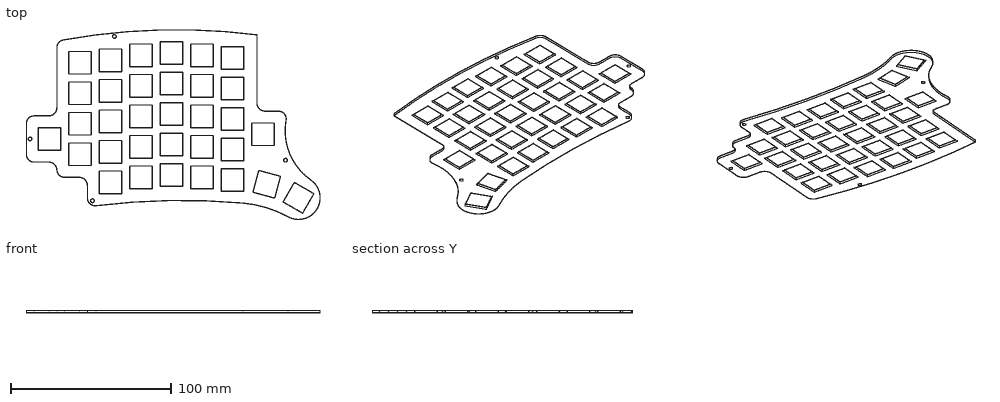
import cadquery as cq
import math


plate_thickness = 1.6
key_grid_span = 133.3
column_gaps = 7
key_pitch = key_grid_span / column_gaps
key_cutout = 14.0
edge_margin = 14.5
corner_radius = 5.0
screw_hole_diameter = 2.2

column_drops = {-3: 6.0, -2: 4.5, -1: 1.5, 0: 0.0, 1: 1.5, 2: 3.1}
full_rows = (-2, -1, 0, 1, 2)
short_rows = (-1, 0, 1, 2)
first_column = min(column_drops)
second_column = first_column + 1
last_column = max(column_drops)

left_key = ((first_column - 1) * key_pitch, -column_drops[first_column] - key_pitch / 2)
right_key = ((last_column + 1) * key_pitch, -column_drops[last_column] - key_pitch / 2)

inner_thumb_key = (59.5, -43.9)
inner_thumb_tilt = -15
outer_thumb_key = (79.3, -52.3)
outer_thumb_tilt = -30

tab_left = left_key[0] - edge_margin
tab_top = left_key[1] + edge_margin
tab_bottom = left_key[1] - edge_margin
body_left = first_column * key_pitch - edge_margin
step_bottom = short_rows[0] * key_pitch - column_drops[first_column] - edge_margin
foot_left = second_column * key_pitch - edge_margin
body_right = 53.5
shoulder_top = right_key[1] + edge_margin

back_radius = 398.3
back_center = (3.3, -345.6)
thumb_radius = 13.5
neck_radius = 37.5
neck_direction = 55.1
sweep_radius = 71.2
sweep_direction = -118.8
front_radius = 436.7
front_end_direction = 85

screw_holes = [
    (-35.6, 48.5),
    (-88.3, left_key[1]),
    (71.2, -28.8),
    (-49.4, -54.1),
]


def polar(center, radius, degrees):
    """Point at a distance and direction from a centre."""
    angle = math.radians(degrees)
    return (center[0] + radius * math.cos(angle), center[1] + radius * math.sin(angle))


def top_of_circle(center, radius, x):
    """Point on the upper half of a circle at a given x."""
    return (x, center[1] + math.sqrt(radius**2 - (x - center[0])**2))


neck_center = polar(outer_thumb_key, thumb_radius + neck_radius, neck_direction)
sweep_center = polar(outer_thumb_key, thumb_radius + sweep_radius, sweep_direction)
front_center = polar(sweep_center, front_radius - sweep_radius, front_end_direction + 180)

back_left = top_of_circle(back_center, back_radius, body_left)
back_right = top_of_circle(back_center, back_radius, body_right)
front_left = top_of_circle(front_center, front_radius, foot_left)
neck_rise = shoulder_top - neck_center[1]
shoulder_corner = (neck_center[0] - math.sqrt(neck_radius**2 - neck_rise**2), shoulder_top)

left_corners = [
    back_left,
    (body_left, tab_top),
    (tab_left, tab_top),
    (tab_left, tab_bottom),
    (body_left, tab_bottom),
    (body_left, step_bottom),
    (foot_left, step_bottom),
    front_left,
]
right_corners = [
    shoulder_corner,
    (body_right, shoulder_top),
]


def make_plate():
    """Plate blank with rounded corners."""
    front_end = polar(front_center, front_radius, front_end_direction)
    thumb_end = polar(outer_thumb_key, thumb_radius, neck_direction)
    thumb_middle = polar(outer_thumb_key, thumb_radius, (neck_direction + sweep_direction) / 2)
    sweep_end_direction = sweep_direction + 180
    sweep_end = polar(sweep_center, sweep_radius, sweep_end_direction)
    sweep_middle = polar(sweep_center, sweep_radius, (front_end_direction + sweep_end_direction) / 2)
    neck_middle = polar(neck_center, neck_radius, 180)
    blank = (
        cq.Workplane("XY")
        .polyline(left_corners)
        .threePointArc(top_of_circle(front_center, front_radius, 0), front_end)
        .threePointArc(sweep_middle, sweep_end)
        .threePointArc(thumb_middle, thumb_end)
        .threePointArc(neck_middle, shoulder_corner)
        .lineTo(*right_corners[1])
        .lineTo(*back_right)
        .threePointArc(top_of_circle(back_center, back_radius, 0), back_left)
        .close()
        .extrude(plate_thickness)
    )
    for x, y in left_corners + right_corners:
        corner = cq.selectors.NearestToPointSelector((x, y, plate_thickness / 2))
        blank = blank.edges("|Z").edges(corner).fillet(corner_radius)
    return blank


def key_centers():
    """Centres of all upright key cutouts."""
    centers = [left_key, right_key]
    for column, drop in column_drops.items():
        rows = short_rows if column == first_column else full_rows
        centers += [(column * key_pitch, row * key_pitch - drop) for row in rows]
    return centers


def cut_keys(plate, centers, tilt=0):
    """Cut square switch openings through the plate."""
    openings = cq.Sketch().push(centers).rect(key_cutout, key_cutout, angle=tilt)
    cutters = cq.Workplane("XY").placeSketch(openings).extrude(plate_thickness)
    return plate.cut(cutters)


plate = make_plate()
plate = cut_keys(plate, key_centers())
plate = cut_keys(plate, [inner_thumb_key], inner_thumb_tilt)
plate = cut_keys(plate, [outer_thumb_key], outer_thumb_tilt)

screws = (
    cq.Workplane("XY")
    .pushPoints(screw_holes)
    .circle(screw_hole_diameter / 2)
    .extrude(plate_thickness)
)
result = plate.cut(screws)